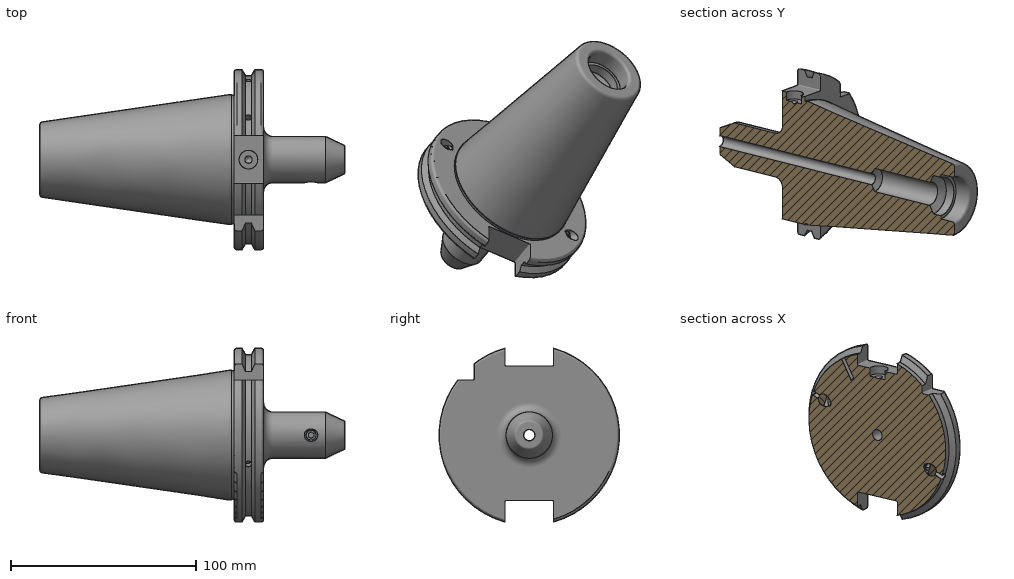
import cadquery as cq
import math


total_length = 164.8
gauge_x = 102.3
neck_x = 103.5
flange_start_x = 105.0
flange_end_x = 121.0
groove_x = 112.7
clamp_x = 146.5
nose_cone_x = 154.4

taper_rate = 7 / 24
gauge_radius = 35.1
small_end_radius = gauge_radius - gauge_x * taper_rate / 2
small_end_fillet = 2.0
neck_radius = gauge_radius - 0.3

flange_radius = 97.4 / 2
flange_fillet = 1.5
groove_width = 7.0
groove_depth = 3.3
groove_wall_angle = 30

slot_width = 26.0
upper_slot_floor = 37.4
lower_slot_floor = 35.3
notch_offset = 29.8
cutout_fillet = 0.5

chip_radius = 10.0 / 2
chip_depth = 4.6
chip_pilot_radius = 2.0

coolant_angles = (20, 200)
coolant_mouth_radius = 41.8
coolant_hole_radius = 6.5 / 2
coolant_tilt = 35
coolant_depth = 11.5
coolant_screw_recess = 2.5
coolant_screw_length = 6.0
coolant_screw_chamfer = 0.5
coolant_socket_flats = 2.0
coolant_socket_depth = 2.1

radial_hole_radius = 1.6
radial_hole_bottom = 33.0
radial_hole_angles = (*coolant_angles, 60)

nose_radius = 12.5
nose_root_fillet = 5.0
nose_end_radius = 7.5
nose_edge_fillet = 1.2

tool_bore_radius = 3.0
mouth_radius = 14.2
pilot_radius = 12.5
pilot_depth = 9.5
thread_radius = 10.7
thread_depth = 14.8
inner_radius = 6.5
inner_depth = 56.0
drill_half_angle = 59

recess_mouth_radius = 3.6
recess_floor_radius = 2.6
recess_depth = 1.6
clamp_socket_flats = 3.0
clamp_socket_depth = 2.5

overcut = 8.2


def revolve_about_x(outline):
    return outline.close().revolve(360, (0, 0, 0), (1, 0, 0))


def hexagon_diameter(across_flats):
    return across_flats / math.cos(math.radians(30))


def radial_direction(angle):
    return cq.Vector(0, math.cos(math.radians(angle)), math.sin(math.radians(angle)))


def make_outer_body():
    outline = (
        cq.Workplane("XY")
        .moveTo(0, 0)
        .lineTo(0, small_end_radius)
        .lineTo(gauge_x, gauge_radius)
        .lineTo(neck_x, gauge_radius)
        .lineTo(neck_x, neck_radius)
        .lineTo(flange_start_x, neck_radius)
        .lineTo(flange_start_x, flange_radius - flange_fillet)
        .radiusArc((flange_start_x + flange_fillet, flange_radius), flange_fillet)
        .lineTo(flange_end_x - flange_fillet, flange_radius)
        .radiusArc((flange_end_x, flange_radius - flange_fillet), flange_fillet)
        .lineTo(flange_end_x, nose_radius + nose_root_fillet)
        .radiusArc((flange_end_x + nose_root_fillet, nose_radius), -nose_root_fillet)
        .lineTo(nose_cone_x, nose_radius)
        .lineTo(total_length, nose_end_radius)
        .lineTo(total_length, 0)
    )
    body = revolve_about_x(outline)
    body = body.faces("<X").edges().fillet(small_end_fillet)
    return body.faces(">X").edges().fillet(nose_edge_fillet)


def make_gripper_groove():
    half_top = groove_width / 2
    half_floor = half_top - groove_depth * math.tan(math.radians(groove_wall_angle))
    floor_radius = flange_radius - groove_depth
    outline = (
        cq.Workplane("XY")
        .moveTo(groove_x - half_top, flange_radius)
        .lineTo(groove_x - half_floor, floor_radius)
        .lineTo(groove_x + half_floor, floor_radius)
        .lineTo(groove_x + half_top, flange_radius)
        .lineTo(groove_x + half_top, flange_radius + overcut)
        .lineTo(groove_x - half_top, flange_radius + overcut)
    )
    return revolve_about_x(outline)


def make_flange_cutouts():
    length = flange_end_x - flange_start_x
    middle_x = flange_start_x + length / 2
    reach = flange_radius
    slot = cq.Workplane("XY").box(length, slot_width, reach, centered=(True, True, False))
    upper = slot.translate((middle_x, 0, upper_slot_floor))
    lower = slot.translate((middle_x, 0, -lower_slot_floor - reach))
    notch = cq.Workplane("XY").box(length, reach, reach, centered=(True, False, False))
    notch = notch.translate((middle_x, -notch_offset - reach, notch_offset))
    cutouts = upper.edges("|X and <Z").fillet(cutout_fillet)
    cutouts = cutouts.union(lower.edges("|X and >Z").fillet(cutout_fillet))
    return cutouts.union(notch.edges("|X and <Z and >Y").fillet(cutout_fillet))


def make_chip_pocket():
    floor_z = upper_slot_floor - chip_depth
    pocket = (
        cq.Workplane("XY", origin=(groove_x, 0, floor_z))
        .circle(chip_radius)
        .extrude(chip_depth + overcut)
    )
    cone_height = chip_pilot_radius / math.tan(math.radians(drill_half_angle))
    pilot = cq.Solid.makeCone(
        chip_pilot_radius, 0, cone_height, cq.Vector(groove_x, 0, floor_z), cq.Vector(0, 0, -1)
    )
    return pocket.union(cq.Workplane(pilot))


def coolant_plane(angle, depth):
    """Plane across an inclined coolant hole, at a depth along its axis from the flange face."""
    outward = radial_direction(angle)
    tilt = math.radians(coolant_tilt)
    inward = cq.Vector(math.cos(tilt), 0, 0) - outward * math.sin(tilt)
    mouth = cq.Vector(flange_start_x, 0, 0) + outward * coolant_mouth_radius
    return cq.Plane(mouth + inward * depth, outward.cross(inward), inward)


def make_coolant_hole(angle):
    return (
        cq.Workplane(coolant_plane(angle, -overcut / 2))
        .circle(coolant_hole_radius)
        .extrude(coolant_depth + overcut / 2)
    )


def make_radial_hole(angle):
    direction = radial_direction(angle)
    start = cq.Vector(groove_x, 0, 0) + direction * radial_hole_bottom
    length = flange_radius - radial_hole_bottom
    return cq.Workplane(cq.Solid.makeCylinder(radial_hole_radius, length, start, direction))


def make_bore():
    tip_slope = math.tan(math.radians(drill_half_angle))
    mouth_round = mouth_radius - pilot_radius
    outline = (
        cq.Workplane("XY")
        .moveTo(0, 0)
        .lineTo(0, mouth_radius)
        .radiusArc((mouth_round, pilot_radius), -mouth_round)
        .lineTo(pilot_depth, pilot_radius)
        .lineTo(pilot_depth, thread_radius)
        .lineTo(thread_depth, thread_radius)
        .lineTo(thread_depth + (thread_radius - inner_radius) / tip_slope, inner_radius)
        .lineTo(inner_depth, inner_radius)
        .lineTo(inner_depth + (inner_radius - tool_bore_radius) / tip_slope, tool_bore_radius)
        .lineTo(total_length, tool_bore_radius)
        .lineTo(total_length, 0)
    )
    return revolve_about_x(outline)


def make_clamp_recess():
    cone = cq.Solid.makeCone(
        recess_mouth_radius, recess_floor_radius, recess_depth,
        cq.Vector(clamp_x, -nose_radius, 0), cq.Vector(0, 1, 0),
    )
    socket = (
        cq.Workplane("XZ", origin=(clamp_x, -nose_radius + recess_depth, 0))
        .transformed(rotate=(0, 0, 30))
        .polygon(6, hexagon_diameter(clamp_socket_flats))
        .extrude(-clamp_socket_depth)
    )
    return cq.Workplane(cone).union(socket)


def make_holder():
    holder = make_outer_body().cut(make_gripper_groove()).cut(make_flange_cutouts())
    holder = holder.cut(make_bore()).cut(make_chip_pocket()).cut(make_clamp_recess())
    for angle in coolant_angles:
        holder = holder.cut(make_coolant_hole(angle))
    for angle in radial_hole_angles:
        holder = holder.cut(make_radial_hole(angle))
    return holder


def make_coolant_screw(angle):
    plane = coolant_plane(angle, coolant_screw_recess)
    screw = (
        cq.Workplane(plane)
        .circle(coolant_hole_radius)
        .extrude(coolant_screw_length)
        .faces("<X or >X")
        .edges()
        .chamfer(coolant_screw_chamfer)
    )
    socket = (
        cq.Workplane(plane)
        .polygon(6, hexagon_diameter(coolant_socket_flats))
        .extrude(coolant_socket_depth)
    )
    return screw.cut(socket)


holder = make_holder()
coolant_screws = [make_coolant_screw(angle) for angle in coolant_angles]

result = cq.Compound.makeCompound([holder.val(), *[screw.val() for screw in coolant_screws]])